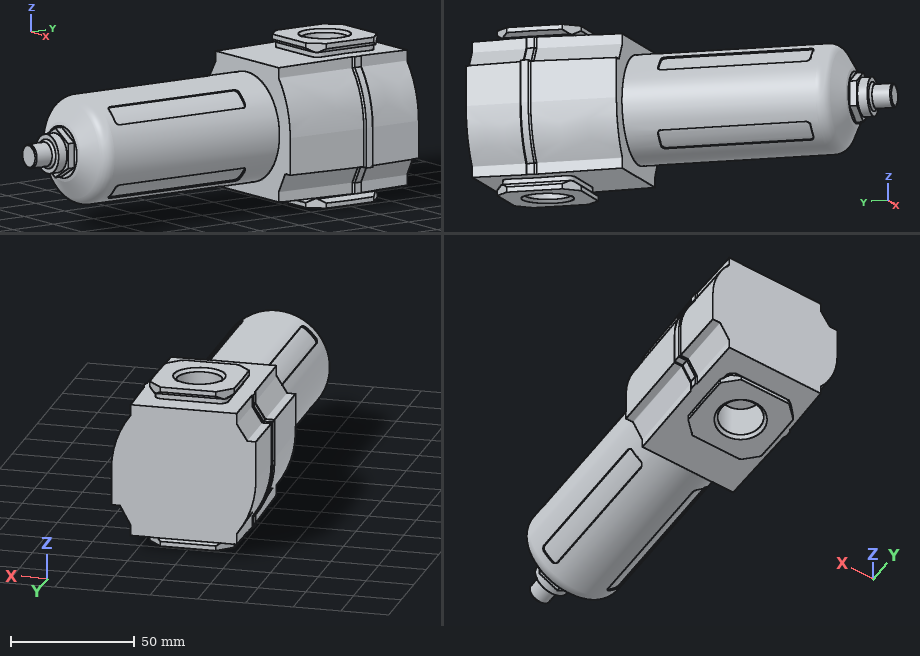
import cadquery as cq
import math


overall_length = 172.8
overall_width = 62.4

rib_height = 0.5
rib_half_width = 1.5
rib_front_flank = 0.9
rib_back_flank = 0.5

head_back = 25.2
head_front = 38.7
head_half_height = 28.3
shoulder_half_width = 22.6
cheek_half_width = overall_width / 2 - rib_height
shoulder_z = 23.7
step_x = 27.0
left_step_z = 17.0
right_step_z = 15.9
draft_angle = 0.8

port_top = 34.0
flange_width = 35.8
flange_corner = 6.2
flange_rim = 2.0
flange_slope = 1.7
neck_half = 15.2
neck_corner_radius = 3.5
bore_radius = 9.3
bore_chamfer = 1.4
bore_depth = 17.3

bowl_radius = 22.6
bowl_cone_start = 126.1
bowl_cone_end = 130.6
bowl_end = 131.2
cone_start_radius = 19.7
cone_end_radius = 12.3
bowl_end_radius = 10.7

window_count = 4
window_start = 52.5
window_end = 117.3
window_width = 9.2
window_depth = 0.7
window_corner_radius = 1.7

hex_sides = 6
hex_across_flats = 17.8
hex_end = 134.3
collar_radius = 8.1
collar_end = 138.4
stem_foot_radius = 6.0
stem_radius = 5.0
stem_foot_length = 1.0
stem_end = overall_length - head_back
stem_chamfer = 0.5


def head_outline(workplane):
    """Head section, with a bulge on each side that is stepped at one end and rounded at the other."""
    bulge_drop = cheek_half_width - shoulder_half_width
    bulge_radius = (shoulder_z**2 + bulge_drop**2) / (2 * bulge_drop)
    mid_z = shoulder_z / 2
    mid_x = cheek_half_width - bulge_radius + math.sqrt(bulge_radius**2 - mid_z**2)
    return (
        workplane.moveTo(-shoulder_half_width, head_half_height)
        .lineTo(-shoulder_half_width, shoulder_z)
        .lineTo(-step_x, left_step_z)
        .lineTo(-cheek_half_width, left_step_z)
        .lineTo(-cheek_half_width, 0)
        .threePointArc((-mid_x, -mid_z), (-shoulder_half_width, -shoulder_z))
        .lineTo(-shoulder_half_width, -head_half_height)
        .lineTo(shoulder_half_width, -head_half_height)
        .lineTo(shoulder_half_width, -shoulder_z)
        .lineTo(step_x, -right_step_z)
        .lineTo(cheek_half_width, -right_step_z)
        .lineTo(cheek_half_width, 0)
        .threePointArc((mid_x, mid_z), (shoulder_half_width, shoulder_z))
        .lineTo(shoulder_half_width, head_half_height)
        .close()
    )


def extrude_both_ways(section):
    """Solid on a parting-plane section, drafted towards the front and the back."""
    wire = section.val()
    front_half = cq.Workplane("XZ").add(wire).toPending().extrude(head_front, taper=draft_angle)
    back_half = cq.Workplane("XZ").add(wire).toPending().extrude(-head_back, taper=draft_angle)
    return front_half.union(back_half)


def make_casting():
    """Block of the head."""
    return extrude_both_ways(head_outline(cq.Workplane("XZ")))


def make_rib():
    """Band with sloped flanks around the parting plane, cut off level with the port faces."""
    crest = head_outline(cq.Workplane("XZ", origin=(0, rib_half_width, 0)))
    rib = crest.offset2D(rib_height, "intersection").extrude(2 * rib_half_width)
    for foot_y, flank in ((-rib_half_width, rib_front_flank), (rib_half_width, -rib_back_flank)):
        flank_angle = math.degrees(math.atan2(rib_height, abs(flank)))
        foot = head_outline(cq.Workplane("XZ", origin=(0, foot_y, 0)))
        foot = foot.offset2D(rib_height, "intersection")
        rib = rib.union(foot.extrude(flank, taper=flank_angle))
    slab = extrude_both_ways(cq.Workplane("XZ").rect(4 * cheek_half_width, 2 * head_half_height))
    return rib.intersect(slab)


def make_port_flange():
    """Octagonal flange with its underside sloping in to a square neck, on the +Z face."""
    rim_bottom = port_top - flange_rim
    slope_bottom = rim_bottom - flange_slope
    octagon = (
        cq.Workplane("XY", origin=(0, 0, slope_bottom))
        .rect(flange_width, flange_width)
        .extrude(port_top - slope_bottom)
        .edges("|Z")
        .chamfer(flange_corner)
    )
    slope_angle = math.degrees(math.atan2(flange_width / 2 - neck_half, flange_slope))
    underside = (
        cq.Workplane("XY", origin=(0, 0, rim_bottom))
        .rect(flange_width, flange_width)
        .extrude(-flange_slope, taper=slope_angle)
    )
    rim = (
        cq.Workplane("XY", origin=(0, 0, rim_bottom))
        .rect(flange_width, flange_width)
        .extrude(flange_rim)
    )
    neck = (
        cq.Workplane("XY")
        .rect(2 * neck_half, 2 * neck_half)
        .extrude(slope_bottom)
        .edges("|Z")
        .fillet(neck_corner_radius)
    )
    slab = extrude_both_ways(cq.Workplane("XZ").rect(flange_width, 4 * port_top))
    return octagon.intersect(rim.union(underside)).intersect(slab).union(neck)


def make_port_bore():
    """Blind bore with a chamfered mouth, to be cut from the +Z end."""
    mouth_radius = bore_radius + bore_chamfer
    return (
        cq.Workplane("XZ")
        .moveTo(0, port_top)
        .lineTo(mouth_radius, port_top)
        .lineTo(bore_radius, port_top - bore_chamfer)
        .lineTo(bore_radius, port_top - bore_depth)
        .lineTo(0, port_top - bore_depth)
        .close()
        .revolve(360, (0, 0, 0), (0, 1, 0))
    )


def make_head():
    head = make_casting().union(make_rib())
    for turn in (0, 180):
        flange = make_port_flange().rotate((0, 0, 0), (0, 1, 0), turn)
        bore = make_port_bore().rotate((0, 0, 0), (0, 1, 0), turn)
        head = head.union(flange).cut(bore)
    return head


def make_window_cutter():
    """Slot cutter on the +X side of the bowl, with a cylindrical floor."""
    length = window_end - window_start
    block = (
        cq.Workplane("YZ")
        .center(-(window_start + window_end) / 2, 0)
        .rect(length, window_width)
        .extrude(2 * bowl_radius)
        .edges("|X")
        .fillet(window_corner_radius)
    )
    floor = cq.Workplane("XZ").circle(bowl_radius - window_depth).extrude(bowl_end)
    return block.cut(floor)


def make_bowl():
    """Bowl turned about Y, with a rounded shoulder, a conical end and four window recesses."""
    cone_angle = math.atan2(cone_start_radius - cone_end_radius, bowl_cone_end - bowl_cone_start)
    shoulder_radius = (bowl_radius - cone_start_radius) / (1 - math.cos(cone_angle))
    straight_end = bowl_cone_start - shoulder_radius * math.sin(cone_angle)
    arc_mid_radius = bowl_radius - shoulder_radius * (1 - math.cos(cone_angle / 2))
    arc_mid_y = -(straight_end + shoulder_radius * math.sin(cone_angle / 2))
    bowl = (
        cq.Workplane("XY")
        .moveTo(0, -head_front)
        .lineTo(bowl_radius, -head_front)
        .lineTo(bowl_radius, -straight_end)
        .threePointArc((arc_mid_radius, arc_mid_y), (cone_start_radius, -bowl_cone_start))
        .lineTo(cone_end_radius, -bowl_cone_end)
        .lineTo(bowl_end_radius, -bowl_end)
        .lineTo(0, -bowl_end)
        .close()
        .revolve(360, (0, 0, 0), (0, 1, 0))
    )
    pitch = 360 / window_count
    for index in range(window_count):
        turn = (index + 0.5) * pitch
        bowl = bowl.cut(make_window_cutter().rotate((0, 0, 0), (0, 1, 0), turn))
    return bowl


def make_drain():
    """Hexagon, collar and stem of the drain, seated on the end of the bowl."""
    hex_across_corners = hex_across_flats / math.cos(math.pi / hex_sides)
    hexagon = (
        cq.Workplane("XZ", origin=(0, -bowl_end, 0))
        .polygon(hex_sides, hex_across_corners)
        .extrude(hex_end - bowl_end)
        .rotate((0, 0, 0), (0, 1, 0), 180 / hex_sides)
    )
    turned = (
        cq.Workplane("XY")
        .moveTo(0, -bowl_end)
        .lineTo(collar_radius, -bowl_end)
        .lineTo(collar_radius, -collar_end)
        .lineTo(stem_foot_radius, -collar_end)
        .lineTo(stem_radius, -(collar_end + stem_foot_length))
        .lineTo(stem_radius, -(stem_end - stem_chamfer))
        .lineTo(stem_radius - stem_chamfer, -stem_end)
        .lineTo(0, -stem_end)
        .close()
        .revolve(360, (0, 0, 0), (0, 1, 0))
    )
    return hexagon.union(turned)


head = make_head()
bowl = make_bowl()
drain = make_drain()

result = cq.Compound.makeCompound([head.solids().val(), bowl.solids().val(), drain.solids().val()])